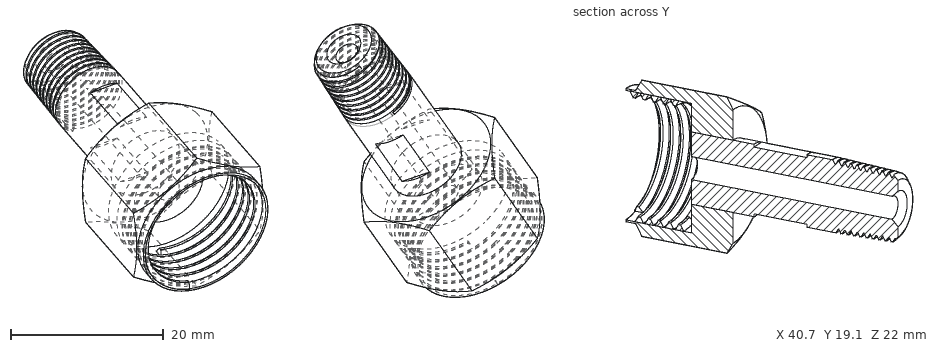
import cadquery as cq
import math


overall_length = 40.7

stem_radius = 5.13
bore_radius = 1.6
countersink_radius = 2.5
tip_radius = 4.03
tip_chamfer = 0.77

pipe_thread_length = 9.85
pipe_pitch = 0.94
pipe_taper = 1 / 32
pipe_groove_depth = 0.6
pipe_groove_turns = 10
pipe_groove_end = 9.75
pipe_groove_end_angle = 150.0
thread_half_angle = math.radians(30)

flat_start = 13.6
flat_length = 7.85
flat_height = 4.7

nut_start = 24.57
hex_end = 39.15
hex_width = 19.05
collar_radius = 9.4
collar_end = 40.55
hex_chamfer_angle = math.radians(30)

cavity_radius = 9.07
cavity_depth = 9.75
coil_pitch = 1.5
coil_turns = 5
coil_depth = 0.8
coil_crest_width = 0.35
coil_end_angle = 164.0

overcut = 0.4
thread_overcut = 0.12

NO_TAPER = 360

hex_corner_radius = hex_width / 2 / math.cos(math.pi / 6)
cavity_floor = collar_end - cavity_depth


def rod(radius, start, end):
    """A cylinder along the X axis."""
    return cq.Workplane("YZ", origin=(start, 0, 0)).circle(radius).extrude(end - start)


def turned(points):
    """A solid of revolution from (x, radius) points."""
    return cq.Workplane("XY").polyline(points).close().revolve(360, (0, 0, 0), (1, 0, 0))


def helical_sweep(profile_points, pitch, length, radius, start_angle, taper_angle=NO_TAPER):
    """A right-handed helical solid from (radius, x) points of its profile.

    It starts with x = 0 at start_angle degrees from +Z, turning through -Y as it advances along X.
    """
    helix = cq.Wire.makeHelix(pitch, length, radius, angle=taper_angle)
    profile = cq.Workplane("XZ").polyline(profile_points).close()
    coil = profile.sweep(cq.Workplane(obj=helix), isFrenet=True)
    along_x = coil.rotate((0, 0, 0), (0, 1, 0), 90)
    return along_x.rotate((0, 0, 0), (1, 0, 0), 180 + start_angle)


def pipe_thread_groove():
    """The V-shaped helical groove of the tapered pipe thread."""
    length = pipe_groove_turns * pipe_pitch
    start_x = pipe_groove_end - length
    start_crest = stem_radius - (pipe_thread_length - start_x) * pipe_taper
    root = start_crest - pipe_groove_depth
    outside = start_crest + thread_overcut
    half_width = (outside - root) * math.tan(thread_half_angle)
    profile = [
        (root, 0),
        (outside, half_width),
        (outside, -half_width),
    ]
    taper_angle = math.degrees(math.atan(pipe_taper))
    start_angle = pipe_groove_end_angle - 360 * pipe_groove_turns
    groove = helical_sweep(profile, pipe_pitch, length, start_crest, start_angle, taper_angle)
    return groove.translate((start_x, 0, 0))


def wrench_flat(side):
    """The material removed above (side = 1) or below (side = -1) the stem."""
    height = stem_radius
    return cq.Workplane("XY").box(flat_length, 2 * stem_radius, height).translate(
        (flat_start + flat_length / 2, 0, side * (flat_height + height / 2))
    )


def threaded_tip():
    """The tapered, chamfered end of the stem with its thread."""
    tip = turned([
        (0, 0),
        (0, tip_radius),
        (tip_chamfer, tip_radius + tip_chamfer),
        (pipe_thread_length, stem_radius),
        (pipe_thread_length, 0),
    ])
    return tip.cut(pipe_thread_groove())


def make_stem():
    stem = threaded_tip().union(rod(stem_radius, pipe_thread_length, cavity_floor))
    for side in (1, -1):
        stem = stem.cut(wrench_flat(side))
    countersink_depth = countersink_radius - bore_radius
    countersink = turned([
        (0, 0),
        (0, countersink_radius),
        (countersink_depth, bore_radius),
        (countersink_depth, 0),
    ])
    return stem.cut(rod(bore_radius, 0, cavity_floor)).cut(countersink)


def make_nut():
    hexagon = (
        cq.Workplane("YZ", origin=(nut_start, 0, 0))
        .polygon(6, 2 * hex_corner_radius)
        .extrude(hex_end - nut_start)
        .rotate((0, 0, 0), (1, 0, 0), 90)
    )
    outside = hex_corner_radius + overcut
    chamfer_length = (outside - collar_radius) * math.tan(hex_chamfer_angle)
    chamfered_blank = turned([
        (nut_start, 0),
        (nut_start, collar_radius),
        (nut_start + chamfer_length, outside),
        (hex_end - chamfer_length, outside),
        (hex_end, collar_radius),
        (hex_end, 0),
    ])
    nut = hexagon.intersect(chamfered_blank).union(rod(collar_radius, hex_end, collar_end))
    nut = nut.cut(rod(cavity_radius, cavity_floor, collar_end))
    return nut.cut(rod(stem_radius, nut_start, cavity_floor))


def make_thread_coil():
    """The internal thread ridge, touching the cavity wall; its last part rises past the collar."""
    length = coil_turns * coil_pitch
    tip_half_width = coil_crest_width / 2
    outside = cavity_radius + thread_overcut
    tip = cavity_radius - coil_depth
    half_width = tip_half_width + (outside - tip) * math.tan(thread_half_angle)
    wall_half_width = tip_half_width + coil_depth * math.tan(thread_half_angle)
    profile = [
        (tip, -tip_half_width),
        (tip, tip_half_width),
        (outside, half_width),
        (outside, -half_width),
    ]
    start_x = overall_length - wall_half_width - length
    coil = helical_sweep(profile, coil_pitch, length, cavity_radius, coil_end_angle)
    cavity_space = rod(cavity_radius, cavity_floor, overall_length + overcut)
    return coil.translate((start_x, 0, 0)).intersect(cavity_space)


stem = make_stem()
nut = make_nut()
thread_coil = make_thread_coil()

result = cq.Compound.makeCompound([
    stem.solids().val(),
    nut.solids().val(),
    thread_coil.solids().val(),
])